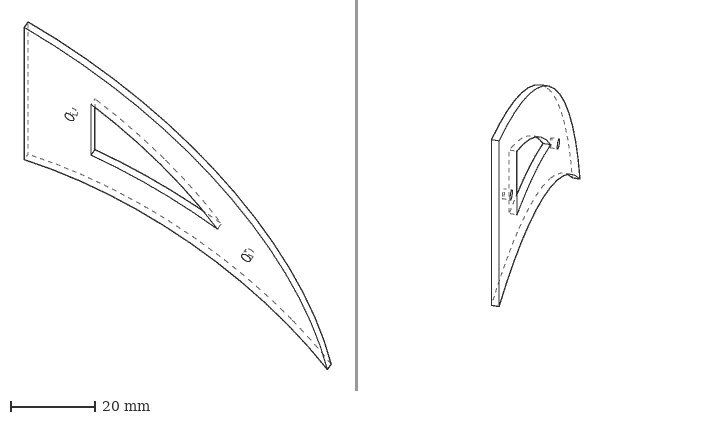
import cadquery as cq
import math

length = 82.1
height = 82.25
thickness = 1.9
straight_side_bottom = 29.9
outer_radius = 104.95
inner_radius = 87.3

window_left = 18.1
rim_width = 12.25

hole_diameter = 2.4
hole_centers = [(12.25, 54.7), (60.05, 29.9)]

top_corner = (0, height)
bottom_corner = (0, straight_side_bottom)
tip = (length, 0)


def arc_center(start, end, radius):
    """Center of the upward-bulging arc that runs left to right from start to end."""
    run = end[0] - start[0]
    rise = end[1] - start[1]
    chord = math.hypot(run, rise)
    drop = math.sqrt(radius**2 - (chord / 2) ** 2)
    middle_x = (start[0] + end[0]) / 2
    middle_z = (start[1] + end[1]) / 2
    return (middle_x + drop * rise / chord, middle_z - drop * run / chord)


def upper_point(center, radius, x):
    """Point at x on the upper half of a circle."""
    return (x, center[1] + math.sqrt(radius**2 - (x - center[0]) ** 2))


def upper_crossing(center_a, radius_a, center_b, radius_b):
    """Right-hand crossing of two circles, where center_b lies to the lower right of center_a."""
    dx = center_b[0] - center_a[0]
    dz = center_b[1] - center_a[1]
    distance = math.hypot(dx, dz)
    along = (radius_a**2 - radius_b**2 + distance**2) / (2 * distance)
    across = math.sqrt(radius_a**2 - along**2)
    return (
        center_a[0] + (along * dx - across * dz) / distance,
        center_a[1] + (along * dz + across * dx) / distance,
    )


def horn(top, bottom, point, upper_center, upper_radius, lower_center, lower_radius):
    """Solid with a straight left side and two arcs that meet at a point on the right."""
    middle_x = (top[0] + point[0]) / 2
    return (
        cq.Workplane("XZ")
        .moveTo(*bottom)
        .lineTo(*top)
        .threePointArc(upper_point(upper_center, upper_radius, middle_x), point)
        .threePointArc(upper_point(lower_center, lower_radius, middle_x), bottom)
        .close()
        .extrude(thickness)
    )


outer_center = arc_center(top_corner, tip, outer_radius)
inner_center = arc_center(bottom_corner, tip, inner_radius)
plate = horn(top_corner, bottom_corner, tip, outer_center, outer_radius, inner_center, inner_radius)

window_upper_radius = outer_radius - rim_width
window_lower_radius = inner_radius + rim_width
window = horn(
    upper_point(outer_center, window_upper_radius, window_left),
    upper_point(inner_center, window_lower_radius, window_left),
    upper_crossing(outer_center, window_upper_radius, inner_center, window_lower_radius),
    outer_center,
    window_upper_radius,
    inner_center,
    window_lower_radius,
)

holes = cq.Workplane("XZ").pushPoints(hole_centers).circle(hole_diameter / 2).extrude(thickness)

result = plate.cut(window).cut(holes)